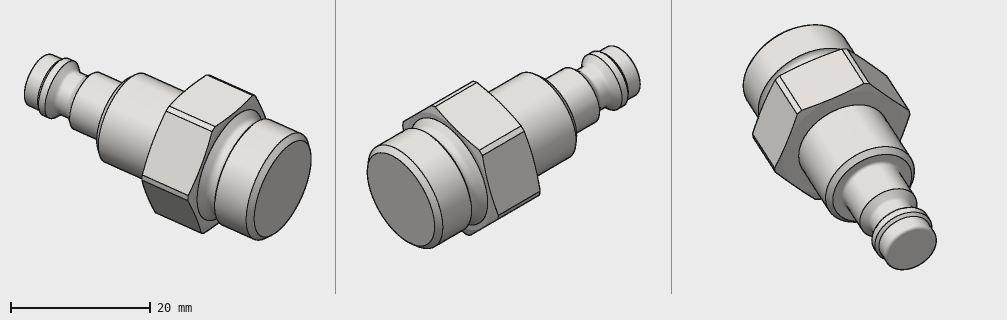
import cadquery as cq
import math

total_length = 42.0
collar_start = 2.5
neck_start = 4.07
neck_end = 8.3
body_start = 14.05
hex_start = 24.45
hex_end = 32.93
thread_start = 35.75

tip_radius = 8.1 / 2
stem_radius = 9.0 / 2
neck_radius = 6.7 / 2
body_radius = 14.0 / 2
thread_radius = 16.67 / 2
undercut_radius = 7.4

tip_round = 0.5
stem_fillet = 0.5
neck_blend = 0.8
undercut_round = 1.15
body_chamfer = 0.8
thread_chamfer = 0.85

across_flats = 19.0
hex_corner_radius = 10.7
hex_face_radius = 9.45
hex_chamfer_length = 0.3
hex_turn = -9.0

DIAGONAL = math.sqrt(0.5)


def groove_side(wall_x, wall_radius, floor_radius, blend, direction):
    """Points of a 45 degree wall and its concave blend to the floor."""
    blend_rise = blend * (1 - DIAGONAL)
    wall_drop = wall_radius - floor_radius - blend_rise
    cone_foot_x = wall_x + direction * wall_drop
    floor_x = cone_foot_x + direction * blend * DIAGONAL
    half_angle = math.radians(22.5)
    wall = (wall_x, wall_radius)
    cone_foot = (cone_foot_x, floor_radius + blend_rise)
    blend_middle = (
        floor_x - direction * blend * math.sin(half_angle),
        floor_radius + blend * (1 - math.cos(half_angle)),
    )
    floor = (floor_x, floor_radius)
    return wall, cone_foot, blend_middle, floor


def turned_body():
    """Revolved profile of everything except the hexagon."""
    collar_step = stem_radius - tip_radius
    round_inset = tip_round * (1 - DIAGONAL)
    fillet_inset = stem_fillet * (1 - DIAGONAL)
    neck_left = groove_side(neck_start, stem_radius, neck_radius, neck_blend, 1)
    neck_right = groove_side(neck_end, stem_radius, neck_radius, neck_blend, -1)
    undercut_depth = thread_radius - undercut_radius
    arc_reach = math.sqrt(undercut_depth * (2 * undercut_round - undercut_depth))
    arc_center_x = thread_start - arc_reach
    cone_foot_x = arc_center_x - undercut_round * DIAGONAL
    cone_foot_radius = undercut_radius + undercut_round * (1 - DIAGONAL)
    cone_rim_radius = cone_foot_radius + cone_foot_x - hex_end
    profile = (
        cq.Workplane("XY")
        .moveTo(0, 0)
        .lineTo(0, tip_radius - tip_round)
        .threePointArc((round_inset, tip_radius - round_inset), (tip_round, tip_radius))
        .lineTo(collar_start, tip_radius)
        .lineTo(collar_start + collar_step, stem_radius)
        .lineTo(*neck_left[0])
        .lineTo(*neck_left[1])
        .threePointArc(neck_left[2], neck_left[3])
        .lineTo(*neck_right[3])
        .threePointArc(neck_right[2], neck_right[1])
        .lineTo(*neck_right[0])
        .lineTo(body_start - stem_fillet, stem_radius)
        .threePointArc(
            (body_start - fillet_inset, stem_radius + fillet_inset),
            (body_start, stem_radius + stem_fillet),
        )
        .lineTo(body_start, body_radius - body_chamfer)
        .lineTo(body_start + body_chamfer, body_radius)
        .lineTo(hex_end, body_radius)
        .lineTo(hex_end, cone_rim_radius)
        .lineTo(cone_foot_x, cone_foot_radius)
        .threePointArc((arc_center_x, undercut_radius), (thread_start, thread_radius))
        .lineTo(total_length - thread_chamfer, thread_radius)
        .lineTo(total_length, thread_radius - thread_chamfer)
        .lineTo(total_length, 0)
        .close()
    )
    return profile.revolve(360, (0, 0, 0), (1, 0, 0))


def hexagon():
    """Hexagonal wrench section with turned corners and chamfered faces."""
    prism = (
        cq.Workplane("YZ")
        .workplane(offset=hex_start)
        .polygon(6, across_flats / math.cos(math.radians(30)))
        .extrude(hex_end - hex_start)
        .rotate((0, 0, 0), (1, 0, 0), hex_turn)
    )
    envelope = (
        cq.Workplane("XY")
        .moveTo(hex_start, 0)
        .lineTo(hex_start, hex_face_radius)
        .lineTo(hex_start + hex_chamfer_length, hex_corner_radius)
        .lineTo(hex_end - hex_chamfer_length, hex_corner_radius)
        .lineTo(hex_end, hex_face_radius)
        .lineTo(hex_end, 0)
        .close()
        .revolve(360, (0, 0, 0), (1, 0, 0))
    )
    return prism.intersect(envelope)


result = turned_body().union(hexagon())